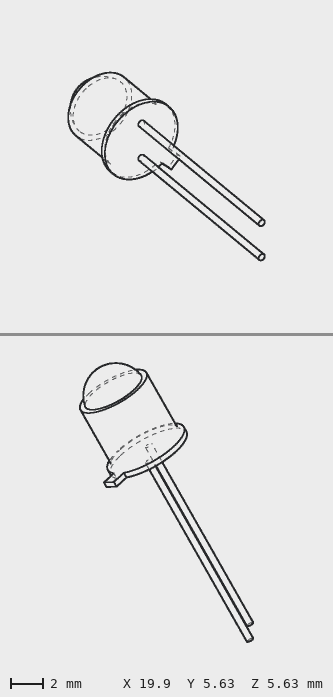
import cadquery as cq

total_length = 19.9
lead_length = 13.53
lens_height = 1.7
body_length = total_length - lead_length - lens_height

can_radius = 2.35
flange_radius = 2.7
flange_thickness = 0.35
flange_fillet = 0.3

tab_width = 1.0
tab_reach = 3.65
tab_angle = -45.0

lead_diameter = 0.45
lead_pitch = 2.53

lens_base_radius = 1.99

lens_seat_x = -body_length
lens_tip_x = lens_seat_x - lens_height
flange_front_x = -flange_thickness


def make_can():
    """Round can revolved about X, with a concave fillet running into its rear flange."""
    fillet_outer_radius = can_radius + flange_fillet
    profile = (
        cq.Workplane("XY")
        .moveTo(lens_seat_x, 0)
        .lineTo(lens_seat_x, can_radius)
        .lineTo(flange_front_x - flange_fillet, can_radius)
        .radiusArc((flange_front_x, fillet_outer_radius), -flange_fillet)
        .lineTo(flange_front_x, flange_radius)
        .lineTo(0, flange_radius)
        .lineTo(0, 0)
        .close()
    )
    return profile.revolve(360, (0, 0, 0), (1, 0, 0))


def make_tab():
    """Square-ended tab as thick as the flange, starting inside it at the axis."""
    return (
        cq.Workplane("XY")
        .box(flange_thickness, tab_reach, tab_width, centered=(False, False, True))
        .translate((flange_front_x, 0, 0))
        .rotate((0, 0, 0), (1, 0, 0), tab_angle)
    )


def make_lead(height):
    """Straight round lead leaving the rear of the flange at the given Z."""
    return (
        cq.Workplane("YZ")
        .center(0, height)
        .circle(lead_diameter / 2)
        .extrude(lead_length)
    )


def make_housing():
    """Can, tab and both leads as one solid."""
    housing = make_can().union(make_tab())
    for side in (-1, 1):
        housing = housing.union(make_lead(side * lead_pitch / 2))
    return housing


def make_lens():
    """Spherical cap resting on the flat front face of the can."""
    sphere_radius = (lens_base_radius**2 + lens_height**2) / (2 * lens_height)
    profile = (
        cq.Workplane("XY")
        .moveTo(lens_tip_x, 0)
        .radiusArc((lens_seat_x, lens_base_radius), sphere_radius)
        .lineTo(lens_seat_x, 0)
        .close()
    )
    return profile.revolve(360, (0, 0, 0), (1, 0, 0))


housing = make_housing()
lens = make_lens()

result = cq.Compound.makeCompound([housing.val(), lens.val()])